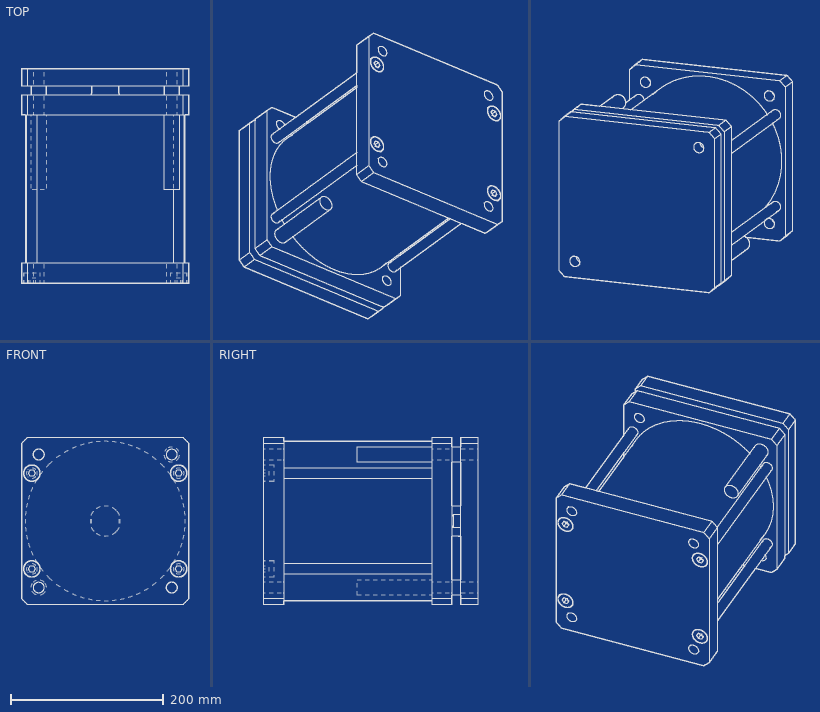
import cadquery as cq

plate_side = 220.0
total_length = 282.0
corner_chamfer = 8.0

front_plate_length = 26.8
middle_plate_length = 26.2
plate_gap = 11.5
back_plate_length = 22.8
front_face = -total_length / 2
back_face = total_length / 2
back_plate_start = back_face - back_plate_length
middle_plate_end = back_plate_start - plate_gap
middle_plate_start = middle_plate_end - middle_plate_length
front_plate_end = front_face + front_plate_length

barrel_diameter = 210.0

piston_rod_diameter = 40.0
flat_distance = 36.0
flat_shoulder_distance = 38.4
flat_shoulder_length = 2.0

corner_offset = 87.5
mounting_hole_diameter = 14.0
guide_rod_diameter = 20.0
guide_rod_length = 136.0

tie_rod_x = 96.5
tie_rod_z = 63.0
tie_rod_diameter = 13.8
counterbore_diameter = 22.0
counterbore_depth = 13.8
screw_head_diameter = 21.0
socket_corner_diameter = 9.3
socket_depth = 7.0

tie_rod_points = [(x, z) for x in (-tie_rod_x, tie_rod_x) for z in (-tie_rod_z, tie_rod_z)]
guide_rod_points = [(-corner_offset, -corner_offset), (corner_offset, corner_offset)]
open_hole_points = [(-corner_offset, corner_offset), (corner_offset, -corner_offset)]


def section_plane(y):
    """Plane across the axis at y: local x is X, local y is -Z, normal is +Y."""
    return cq.Workplane(cq.Plane(origin=(0, y, 0), xDir=(1, 0, 0), normal=(0, 1, 0)))


def cylinders(points, diameter, start, end):
    """Equal cylinders along Y, centred on (x, z) points."""
    mirrored_points = [(x, -z) for x, z in points]
    return section_plane(start).pushPoints(mirrored_points).circle(diameter / 2).extrude(end - start)


def plate(start, length):
    """Square plate with its four corners cut off."""
    blank = section_plane(start).rect(plate_side, plate_side).extrude(length)
    return blank.edges("|Y").chamfer(corner_chamfer)


def piston_rod():
    """Round rod with two flats that slope out to a wider shoulder at the middle plate."""
    rod = cylinders([(0, 0)], piston_rod_diameter, middle_plate_end, back_plate_start)
    shoulder_end = middle_plate_end + flat_shoulder_length
    flats = (
        cq.Workplane("XY", origin=(0, 0, -piston_rod_diameter / 2))
        .moveTo(-flat_shoulder_distance / 2, middle_plate_end)
        .lineTo(flat_shoulder_distance / 2, middle_plate_end)
        .lineTo(flat_distance / 2, shoulder_end)
        .lineTo(flat_distance / 2, back_plate_start)
        .lineTo(-flat_distance / 2, back_plate_start)
        .lineTo(-flat_distance / 2, shoulder_end)
        .close()
        .extrude(piston_rod_diameter)
    )
    return rod.intersect(flats)


front_plate = plate(front_face, front_plate_length)
middle_plate = plate(middle_plate_start, middle_plate_length)
back_plate = plate(back_plate_start, back_plate_length)
barrel = cylinders([(0, 0)], barrel_diameter, front_plate_end, middle_plate_start)

head_seat = front_face + counterbore_depth
front_plate = front_plate.cut(cylinders(tie_rod_points, counterbore_diameter, front_face, head_seat))
front_plate = front_plate.cut(
    cylinders(guide_rod_points, mounting_hole_diameter, front_face, front_plate_end)
)

result = front_plate.union(barrel).union(middle_plate).union(piston_rod()).union(back_plate)
result = result.cut(cylinders(open_hole_points, mounting_hole_diameter, front_face, back_face))

guide_rod_end = back_plate_start - guide_rod_length
result = result.union(cylinders(guide_rod_points, guide_rod_diameter, guide_rod_end, back_plate_start))

result = result.union(cylinders(tie_rod_points, tie_rod_diameter, front_plate_end, middle_plate_start))
result = result.union(cylinders(tie_rod_points, screw_head_diameter, front_face, head_seat))
sockets = (
    section_plane(front_face)
    .pushPoints(tie_rod_points)
    .polygon(6, socket_corner_diameter)
    .extrude(socket_depth)
)
result = result.cut(sockets)